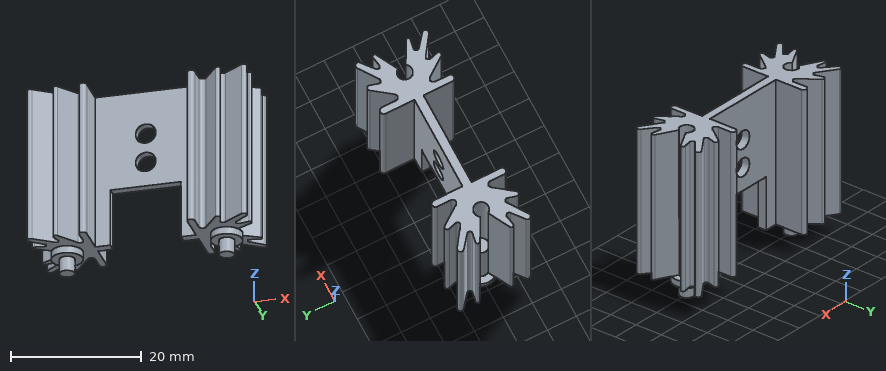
import cadquery as cq
import math

length = 34.92
depth = 12.7
height = 29.0
pin_drop = 3.6
body_height = height - pin_drop

web_thickness = 1.57
notch_width = 11.17
notch_height = 9.35
web_hole_diameter = 3.18
web_hole_heights = (13.45, 18.25)

pin_x = 12.68
pin_diameter = 2.45
pin_insertion = 10.0
collar_diameter = 4.92
collar_height = 1.2
mouth_half_width = 0.65

straight_fin_inner_x = 8.0
straight_fin_radius = 0.6
straight_fin_x = straight_fin_inner_x + straight_fin_radius
straight_fin_outer_x = straight_fin_x + straight_fin_radius
low_tip_radius = 0.35
corner_tip_radius = 0.52
side_tip_radius = 0.42
small_root_radius = 0.42
large_root_radius = 0.55

half_length = length / 2
half_depth = depth / 2
half_web = web_thickness / 2
bore_radius = pin_diameter / 2
mouth_x = pin_x + math.sqrt(bore_radius**2 - mouth_half_width**2)

TIP = 1
ROOT = -1
fin_circles = [
    (-mouth_x, mouth_half_width, 0, TIP),
    (-half_length + low_tip_radius, 2.9, low_tip_radius, TIP),
    (-15.47, 3.4, small_root_radius, ROOT),
    (-half_length + corner_tip_radius, 5.75, corner_tip_radius, TIP),
    (-13.27, 4.35, small_root_radius, ROOT),
    (-12.85, half_depth - side_tip_radius, side_tip_radius, TIP),
    (-straight_fin_outer_x - large_root_radius, 3.4, large_root_radius, ROOT),
    (-straight_fin_x, half_depth - straight_fin_radius, straight_fin_radius, TIP),
    (-straight_fin_inner_x, half_web, 0, TIP),
]


def tangent_line(first, second):
    """Return start, end and unit direction of the outline between two circles."""
    x1, y1, radius1, side1 = first
    x2, y2, radius2, side2 = second
    distance = math.hypot(x2 - x1, y2 - y1)
    along = ((x2 - x1) / distance, (y2 - y1) / distance)
    lean = (side1 * radius1 - side2 * radius2) / distance
    rise = math.sqrt(1 - lean**2)
    nx = lean * along[0] - rise * along[1]
    ny = lean * along[1] + rise * along[0]
    start = (x1 + side1 * radius1 * nx, y1 + side1 * radius1 * ny)
    end = (x2 + side2 * radius2 * nx, y2 + side2 * radius2 * ny)
    return start, end, (ny, -nx)


def arc_middle(circle, direction_in, direction_out):
    """Return the middle of the arc that turns the outline around a circle."""
    x, y, radius, _ = circle
    dx = direction_in[0] - direction_out[0]
    dy = direction_in[1] - direction_out[1]
    size = math.hypot(dx, dy)
    return (x + radius * dx / size, y + radius * dy / size)


def quarter_body():
    """Extrude the quarter section on the -X, +Y side."""
    lines = [tangent_line(a, b) for a, b in zip(fin_circles, fin_circles[1:])]
    outline = cq.Workplane("XY").moveTo(-mouth_x, 0).lineTo(*lines[0][0]).lineTo(*lines[0][1])
    for circle, before, after in zip(fin_circles[1:], lines, lines[1:]):
        start, end, direction = after
        outline = outline.threePointArc(arc_middle(circle, before[2], direction), start).lineTo(*end)
    return outline.lineTo(0, half_web).lineTo(0, 0).close().extrude(body_height)


def pin_cylinders(diameter, bottom, top):
    """Return a pair of upright cylinders on the pin axes."""
    return (
        cq.Workplane("XY")
        .workplane(offset=bottom)
        .pushPoints([(-pin_x, 0), (pin_x, 0)])
        .circle(diameter / 2)
        .extrude(top - bottom)
    )


quarter = quarter_body()
half = quarter.union(quarter.mirror("XZ"))
body = half.union(half.mirror("YZ")).clean()

body = body.cut(pin_cylinders(pin_diameter, 0, body_height))
notch = cq.Workplane("XY").box(notch_width, web_thickness, notch_height, centered=(True, True, False))
web_holes = (
    cq.Workplane("XZ")
    .pushPoints([(0, z) for z in web_hole_heights])
    .circle(web_hole_diameter / 2)
    .extrude(half_web, both=True)
)
body = body.cut(notch).cut(web_holes)

pins = pin_cylinders(pin_diameter, -pin_drop, pin_insertion)
collars = pin_cylinders(collar_diameter, -collar_height, 0)
result = body.union(pins.union(collars))